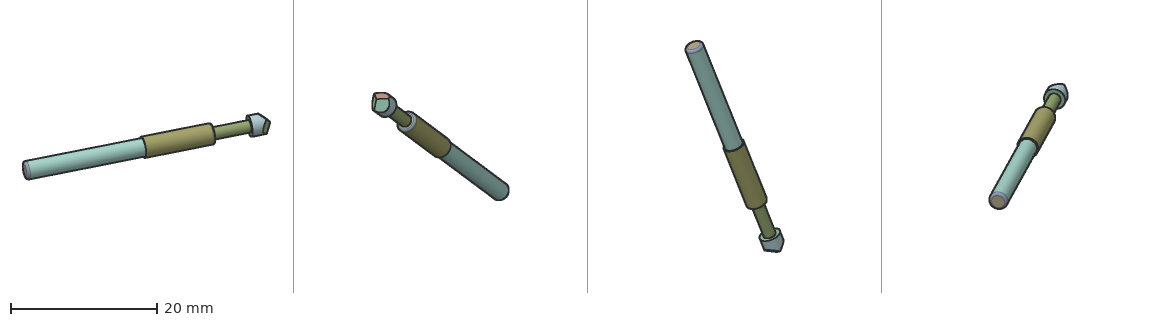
import cadquery as cq
import math

total_length = 35.3
head_radius = 1.5
head_length = 3.0
neck_radius = 0.9
sleeve_start = 8.3
sleeve_end = 18.3
sleeve_fillet = 0.32
barrel_radius = 1.3
tail_fillet = 0.4

tip_faces = 3
tip_slope = 1.0


def cylinder(radius, front, back):
    """Round section from distance `front` to `back` behind the tip."""
    return cq.Workplane("XZ", origin=(0, -front, 0)).circle(radius).extrude(back - front)


def tip_pyramid():
    """Regular pyramid with its apex at the origin and one face toward +X."""
    face_distance = 2 * head_length
    corner_radius = face_distance / math.cos(math.pi / tip_faces)
    depth = face_distance * tip_slope
    corners = []
    for index in range(tip_faces):
        angle = math.pi * (2 * index + 1) / tip_faces
        point = (corner_radius * math.cos(angle), -depth, corner_radius * math.sin(angle))
        corners.append(cq.Vector(*point))
    apex = cq.Vector(0, 0, 0)
    faces = [cq.Face.makeFromWires(cq.Wire.makePolygon(corners, close=True))]
    for index in range(tip_faces):
        outline = [apex, corners[index], corners[(index + 1) % tip_faces]]
        faces.append(cq.Face.makeFromWires(cq.Wire.makePolygon(outline, close=True)))
    return cq.Workplane(cq.Solid.makeSolid(cq.Shell.makeShell(faces)))


head = cylinder(head_radius, 0, head_length).intersect(tip_pyramid())

neck = cylinder(neck_radius, head_length, sleeve_start)

sleeve = cylinder(head_radius, sleeve_start, sleeve_end).faces(">Y").edges().fillet(sleeve_fillet)

barrel = cylinder(barrel_radius, sleeve_end, total_length).faces("<Y").edges().fillet(tail_fillet)

result = head.union(neck).union(sleeve).union(barrel)